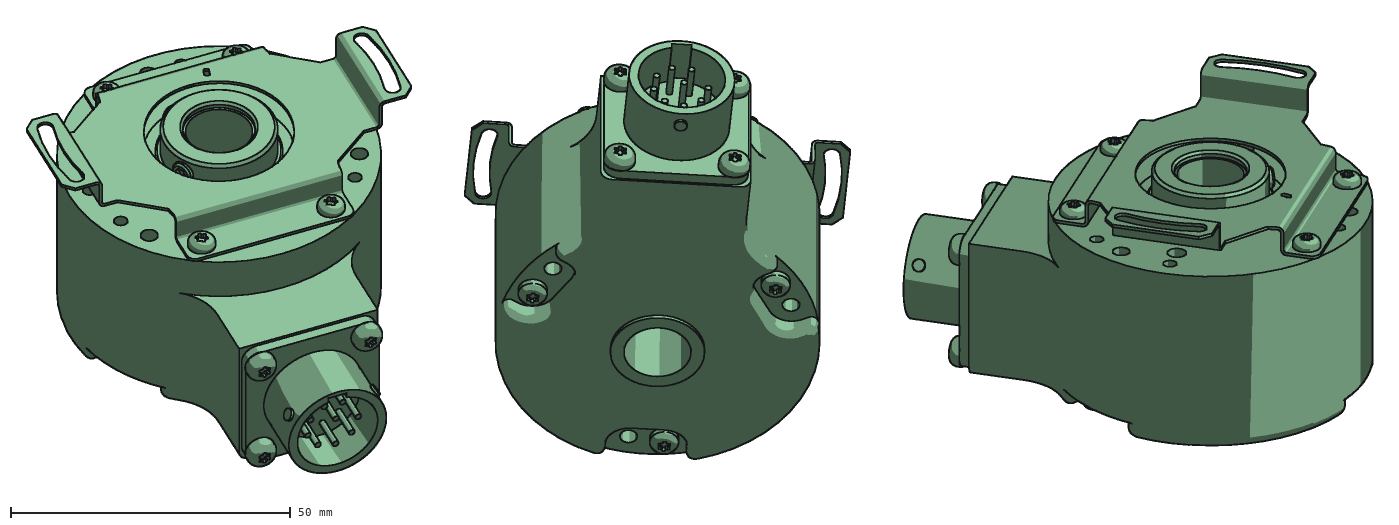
import cadquery as cq
import math

connector_angle = -30

body_radius = 29.0
body_top = 35.0
bottom_fillet = 1.95
housing_end = 41.05
housing_half_width = 13.4
housing_top = 26.8
neck_radius = 10.0

notch_angles = (60, 180, 300)
notch_height = 3.3
notch_half_width = 7.3
notch_floor_distance = 20.8
notch_corner_radius = 4.4
notch_mouth_radius = 1.2
hole_circle_radius = 25.1
hole_offset_angle = 7.3
through_hole_radius = 1.5
tapped_hole_radius = 1.2
tapped_hole_depth = 4.85
large_hole_radius = 1.7
large_hole_distance = 20.8

bore_radius = 6.0
bore_mouth_radius = 6.5
bore_mouth_depth = 1.2
bore_mouth_chamfer = 0.5
shaft_top = 41.5
shaft_bottom = -0.7
shaft_bottom_radius = 8.4
collar_radius = 10.5
collar_chamfer = 0.6
flange_radius = 11.4
flange_height = 1.0
flange_chamfer = 0.3
boss_radius = 13.6
boss_height = 0.5
set_screw_angles = (210, 300)
set_screw_z = 38.4
set_screw_radius = 2.0
set_screw_chamfer = 0.4
set_screw_socket_diameter = 2.3
set_screw_socket_depth = 0.8

sheet = 0.6
bend_inner = 0.6
bend_outer = bend_inner + sheet
plate_top = 40.5
tab_top = 46.15
foot_end = 24.9
foot_wall = 18.5
foot_half_width = 16.1
foot_corner_radius = 1.6
tab_end = 33.9
tab_wall = 27.45
tab_half_width = 9.95
tab_corner = 1.9
shoulder_x = 15.6
shoulder_y = 16.4
tab_root_y = 23.9
plate_hole_radius = 13.4
slot_radius = 31.5
slot_width = 2.9
slot_half_angle = 13
bracket_screw_angles = (30, 150, 210, 330)
key_radius = 15.95
key_angle = 165
key_length = 1.95
key_width = 1.05

axis_z = 13.35
flange_half_side = 12.95
flange_corner_radius = 2.8
connector_flange = 1.95
flange_face = housing_end + connector_flange
flange_screw_offset = 10.3
shell_end = 54.5
shell_radius = 9.5
shell_inner_radius = 7.8
insert_face = 46.15
keyway_radius = 8.6
keyway_width = 3.6
stud_x = 51.9
stud_radius = 1.1
stud_reach = 9.95
stud_angles = (30, 150, 270)
pin_radius = 0.6
pin_end = 52.3
pin_circle_radius = 4.9
pin_count = 8
pin_gap_angle = 67
inner_pin_distance = 1.2
inner_pin_angle = 60

bracket_head = (2.5, 0.65, 1.7)
connector_head = (2.8, 0.7, 2.35)
cover_head = (2.6, 1.05, 2.1)
head_flat_radius = 1.3
dome_bulge_ratio = 0.2
socket_depth = 1.0
socket_core_radius = 0.9
socket_lobe_radius = 0.28


def polar(radius, angle):
    a = math.radians(angle)
    return (radius * math.cos(a), radius * math.sin(a))


def disc(radius, bottom, top):
    return cq.Workplane("XY").workplane(offset=bottom).circle(radius).extrude(top - bottom)


def box(x0, x1, y0, y1, z0, z1):
    return cq.Workplane("XY").box(x1 - x0, y1 - y0, z1 - z0, centered=False).translate((x0, y0, z0))


def pan_head(size):
    """Domed screw head standing on the XY plane, with a six-lobed socket."""
    radius, rim, height = size
    dome_bulge = dome_bulge_ratio * (height - rim)
    dome_mid = ((radius + head_flat_radius) / 2 + dome_bulge, (rim + height) / 2 + dome_bulge)
    head = (
        cq.Workplane("XZ")
        .lineTo(radius, 0)
        .lineTo(radius, rim)
        .threePointArc(dome_mid, (head_flat_radius, height))
        .lineTo(0, height)
        .close()
        .revolve(360, (0, 0), (0, 1))
    )
    socket = disc(socket_core_radius, height - socket_depth, height)
    lobes = (
        cq.Workplane("XY")
        .workplane(offset=height - socket_depth)
        .polarArray(socket_core_radius, 0, 360, 6)
        .circle(socket_lobe_radius)
        .extrude(socket_depth)
    )
    return head.cut(socket.union(lobes))


def body_outline():
    """Round body joined to the connector housing by two concave neck arcs."""
    center_y = housing_half_width + neck_radius
    center_x = math.sqrt((body_radius + neck_radius) ** 2 - center_y**2)
    tangent_angle = math.degrees(math.atan2(center_y, center_x))
    tx, ty = polar(body_radius, tangent_angle)
    mx, my = polar(neck_radius, (tangent_angle - 270) / 2)
    neck_mid = (center_x + mx, center_y + my)
    return (
        cq.Workplane("XY")
        .moveTo(tx, ty)
        .threePointArc((-body_radius, 0), (tx, -ty))
        .threePointArc((neck_mid[0], -neck_mid[1]), (center_x, -housing_half_width))
        .lineTo(housing_end, -housing_half_width)
        .lineTo(housing_end, housing_half_width)
        .lineTo(center_x, housing_half_width)
        .threePointArc(neck_mid, (tx, ty))
        .close()
    )


def notch(angle):
    """Cutter for one rim notch, with rounded inner corners."""
    cutter = box(notch_floor_distance, 2 * body_radius, -notch_half_width, notch_half_width, 0, notch_height)
    cutter = cutter.edges("|Z and <X").fillet(notch_corner_radius)
    return cutter.rotate((0, 0, 0), (0, 0, 1), angle)


def make_body():
    lower = body_outline().extrude(notch_height)
    for angle in notch_angles:
        lower = lower.cut(notch(angle))
    mouth_angle = math.degrees(math.asin(notch_half_width / body_radius))
    for angle in notch_angles:
        for side in (-1, 1):
            x, y = polar(body_radius, angle + side * mouth_angle)
            corner = cq.selectors.NearestToPointSelector((x, y, notch_height / 2))
            lower = lower.edges("|Z").edges(corner).fillet(notch_mouth_radius)
    rim = lower.faces("<Z").edges().filter(lambda edge: edge.BoundingBox().xmin < housing_end - bottom_fillet)
    lower = lower.newObject(rim.vals()).fillet(bottom_fillet)

    upper = body_outline().extrude(housing_top - notch_height).translate((0, 0, notch_height))
    return lower.union(upper).union(disc(body_radius, notch_height, body_top))


def body_holes():
    """Mounting holes: one through and one blind per notch, more under the tabs."""
    blind_bottom = body_top - tapped_hole_depth
    through = disc(through_hole_radius, 0, body_top)
    tapped = disc(tapped_hole_radius, blind_bottom, body_top)
    large = disc(large_hole_radius, blind_bottom, body_top)
    holes = []
    for angle in notch_angles:
        holes.append(through.translate(polar(hole_circle_radius, angle + hole_offset_angle) + (0,)))
        holes.append(tapped.translate(polar(hole_circle_radius, angle - hole_offset_angle) + (0,)))
    for side in (-1, 1):
        holes.append(tapped.translate((0, side * hole_circle_radius, 0)))
        holes.append(large.translate((0, side * large_hole_distance, 0)))
    return holes


def cover_screws():
    head = pan_head(cover_head).rotate((0, 0, 0), (1, 0, 0), 180).translate((0, 0, notch_height))
    return [head.translate(polar(hole_circle_radius, a - hole_offset_angle) + (0,)) for a in notch_angles]


def make_shaft():
    """Collar with its foot flange and boss, the lower shaft end and the set screws."""
    shaft = disc(collar_radius, body_top, shaft_top).faces(">Z").chamfer(collar_chamfer)
    flange = disc(flange_radius, body_top, body_top + flange_height).faces(">Z").chamfer(flange_chamfer)
    shaft = shaft.union(flange).union(disc(boss_radius, body_top, body_top + boss_height))
    shaft = shaft.union(disc(shaft_bottom_radius, shaft_bottom, 0))
    screw = (
        cq.Workplane("YZ")
        .circle(set_screw_radius)
        .extrude(flange_radius)
        .faces(">X")
        .chamfer(set_screw_chamfer)
        .faces(">X")
        .workplane()
        .polygon(6, set_screw_socket_diameter)
        .cutBlind(-set_screw_socket_depth)
        .translate((0, 0, set_screw_z))
    )
    for angle in set_screw_angles:
        shaft = shaft.union(screw.rotate((0, 0, 0), (0, 0, 1), angle))
    return shaft


def bore():
    """Through bore, widened and chamfered at the collar end."""
    mouth = disc(bore_mouth_radius, shaft_top - bore_mouth_depth, shaft_top)
    rim = (
        cq.Workplane("XY")
        .workplane(offset=shaft_top)
        .circle(bore_mouth_radius + bore_mouth_chamfer)
        .workplane(offset=-bore_mouth_chamfer)
        .circle(bore_mouth_radius)
        .loft()
    )
    return disc(bore_radius, shaft_bottom, shaft_top).union(mouth).union(rim)


def z_strip(start, wall, end, low, high, half_width, rising):
    """Sheet strip along +X bent twice: a wall whose outer face is at `wall`
    joins a level at the start to a level at the end. `low` and `high` are the
    bottom and top of the strip; it climbs outward if `rising`."""
    inside = wall - sheet
    points = [
        (start, low),
        (wall, low),
        (wall, high - sheet),
        (end, high - sheet),
        (end, high),
        (inside, high),
        (inside, low + sheet),
        (start, low + sheet),
    ]
    outer_corners = [points[1], points[5]]
    inner_corners = [points[2], points[6]]
    strip = cq.Workplane("XZ").polyline(points).close().extrude(half_width, both=True)
    for corners, radius in ((outer_corners, bend_outer), (inner_corners, bend_inner)):
        for x, z in corners:
            nearest = cq.selectors.NearestToPointSelector((x, 0, z))
            strip = strip.edges("|Y").edges(nearest).fillet(radius)
    if not rising:
        strip = strip.mirror("XY").translate((0, 0, low + high))
    return strip


def tab_slot():
    """Curved slot around the shaft axis, centred on +X."""
    outer = slot_radius + slot_width / 2
    inner = slot_radius - slot_width / 2
    slot = (
        cq.Workplane("XY")
        .moveTo(*polar(inner, -slot_half_angle))
        .threePointArc((inner, 0), polar(inner, slot_half_angle))
        .lineTo(*polar(outer, slot_half_angle))
        .threePointArc((outer, 0), polar(outer, -slot_half_angle))
        .close()
        .extrude(tab_top)
    )
    for side in (-1, 1):
        end = disc(slot_width / 2, 0, tab_top)
        slot = slot.union(end.translate(polar(slot_radius, side * slot_half_angle) + (0,)))
    return slot


def make_bracket():
    foot_root = foot_wall - bend_outer
    tab_root = tab_wall - bend_outer
    quarter = [
        (foot_root, foot_half_width),
        (shoulder_x, shoulder_y),
        (tab_half_width, tab_root_y),
        (tab_half_width, tab_root),
    ]
    upper_half = quarter + [(-x, y) for x, y in reversed(quarter)]
    outline = upper_half + [(-x, -y) for x, y in upper_half]
    bracket = (
        cq.Workplane("XY")
        .workplane(offset=plate_top - sheet)
        .polyline(outline)
        .close()
        .extrude(sheet)
    )

    foot = z_strip(foot_root - bend_outer, foot_wall, foot_end, body_top, plate_top, foot_half_width, False)
    foot = foot.faces(">X").edges("|Z").fillet(foot_corner_radius)
    tab = z_strip(tab_root - bend_outer, tab_wall, tab_end, plate_top - sheet, tab_top, tab_half_width, True)
    tab = tab.faces(">X").edges("|Z").chamfer(tab_corner)
    tab = tab.cut(tab_slot())
    for angle in (0, 180):
        bracket = bracket.union(foot.rotate((0, 0, 0), (0, 0, 1), angle))
        bracket = bracket.union(tab.rotate((0, 0, 0), (0, 0, 1), angle + 90))

    key_slot = (
        cq.Workplane("XY")
        .center(key_radius, 0)
        .slot2D(key_length, key_width)
        .extrude(plate_top)
        .rotate((0, 0, 0), (0, 0, 1), key_angle)
    )
    return bracket.cut(disc(plate_hole_radius, 0, plate_top)).cut(key_slot)


def bracket_screws():
    head = pan_head(bracket_head).translate((0, 0, body_top + sheet))
    return [head.translate(polar(hole_circle_radius, a) + (0,)) for a in bracket_screw_angles]


def make_connector():
    """Square flange, open shell with keyway, locking studs, pins and screws,
    built about the X axis and then lifted to the connector height."""
    def rod(radius, start, end):
        return cq.Workplane("YZ").workplane(offset=start).circle(radius).extrude(end - start)

    side = 2 * flange_half_side
    connector = cq.Workplane("YZ").workplane(offset=housing_end).rect(side, side).extrude(connector_flange)
    connector = connector.edges("|X").fillet(flange_corner_radius)
    connector = connector.union(rod(shell_radius, flange_face, shell_end))

    stud = disc(stud_radius, shell_inner_radius, stud_reach).translate((stud_x, 0, 0))
    for angle in stud_angles:
        connector = connector.union(stud.rotate((0, 0, 0), (1, 0, 0), angle - 90))

    connector = connector.cut(rod(shell_inner_radius, insert_face, shell_end))
    half_keyway = keyway_width / 2
    connector = connector.cut(box(insert_face, shell_end, -half_keyway, half_keyway, 0, keyway_radius))

    pin_step = (360 - pin_gap_angle) / (pin_count - 1)
    pin_places = [polar(pin_circle_radius, -i * pin_step) for i in range(pin_count)]
    pin_places.append(polar(inner_pin_distance, inner_pin_angle))
    pin = rod(pin_radius, insert_face, pin_end)
    for y, z in pin_places:
        connector = connector.union(pin.translate((0, y, z)))

    head = pan_head(connector_head).rotate((0, 0, 0), (0, 1, 0), 90)
    for y in (-flange_screw_offset, flange_screw_offset):
        for z in (-flange_screw_offset, flange_screw_offset):
            connector = connector.union(head.translate((flange_face, y, z)))
    return connector.translate((0, 0, axis_z))


encoder = make_body()
for hole in body_holes():
    encoder = encoder.cut(hole)
encoder = encoder.union(make_shaft()).cut(bore())
encoder = encoder.union(make_bracket()).union(make_connector())
for screw in cover_screws() + bracket_screws():
    encoder = encoder.union(screw)

result = encoder.rotate((0, 0, 0), (0, 0, 1), connector_angle)